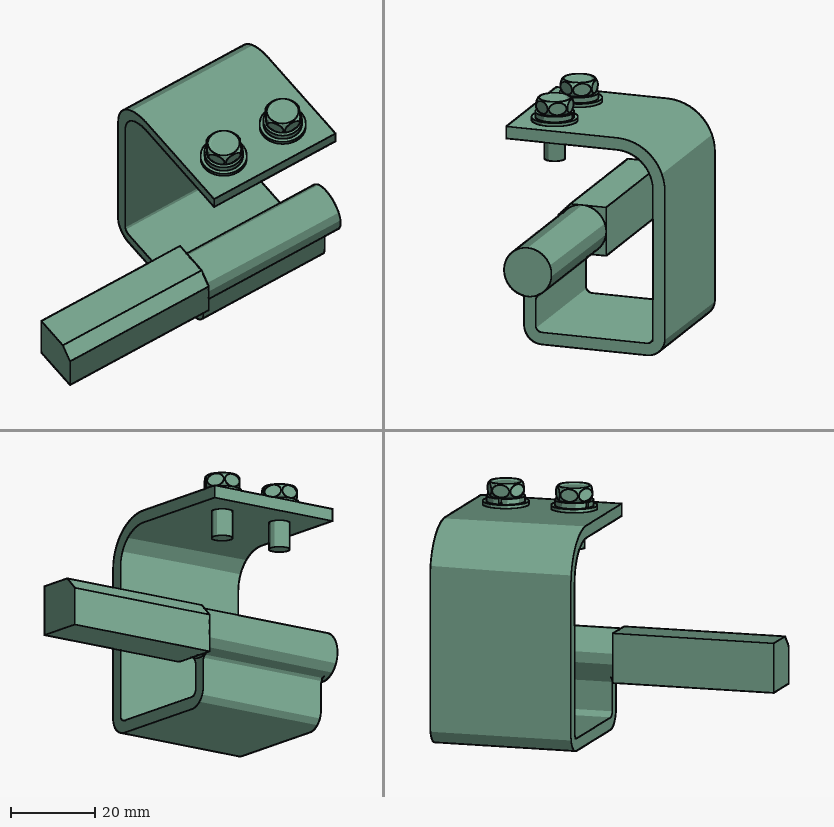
import cadquery as cq
import math

bracket_length = 40.0
bracket_height = 53.0
bracket_depth = 35.0
plate_thickness = 3.0
top_bend_radius = 12.0
bottom_bend_radius = 4.5

barrel_diameter = 12.0
barrel_radius = barrel_diameter / 2
barrel_overhang = 1.5
barrel_x = bracket_length - barrel_radius
barrel_z = 18.0
weld_radius = 2.0
bar_length = 40.0
bar_chamfer = 3.0

bolt_diameter = 5.0
bolt_x = 31.0
bolt_edge_distance = 9.0
bolt_reach = 9.5
head_across_flats = 8.0
head_height = 3.5
hexagon_turn = 30.0
head_rim_diameter = 7.5
head_bulge_diameter = 9.05
dish_floor_diameter = 6.0
dish_depth = 0.4
dish_wall_angle = 31.0
spring_outer_diameter = 9.2
spring_thickness = 1.3
spring_gap = 0.7
flat_outer_diameter = 11.0
flat_thickness = 0.8

bolt_places = [
    (bolt_edge_distance, 240.0),
    (bracket_depth - bolt_edge_distance, 180.0),
]

flat_base_z = bracket_height
spring_base_z = flat_base_z + flat_thickness
head_base_z = spring_base_z + spring_thickness


def along_y(sketch, start_y, length):
    """Extrude an XZ sketch from start_y towards +Y."""
    return sketch.extrude(-length).translate((0, start_y, 0))


def disc(diameter, base_z, height, y):
    """Upright cylinder on a bolt axis."""
    return cq.Workplane("XY", origin=(bolt_x, y, base_z)).circle(diameter / 2).extrude(height)


def make_strip():
    """Bent strip: top flange, back wall, floor and the short leg that rises to the barrel."""
    t = plate_thickness
    leg_right = barrel_x + t / 2
    leg_left = leg_right - t
    top = bracket_height
    outer_top = top_bend_radius
    inner_top = outer_top - t
    outer_low = bottom_bend_radius
    inner_low = outer_low - t
    bend = math.sqrt(0.5)

    def arc_point(center_x, center_z, radius, side_x, side_z):
        return (center_x + side_x * radius * bend, center_z + side_z * radius * bend)

    low_left = (outer_low, outer_low)
    low_right = (leg_right - outer_low, outer_low)
    top_left = (outer_top, top - outer_top)

    profile = (
        cq.Workplane("XZ")
        .moveTo(bracket_length, top)
        .lineTo(outer_top, top)
        .threePointArc(arc_point(*top_left, outer_top, -1, 1), (0, top - outer_top))
        .lineTo(0, outer_low)
        .threePointArc(arc_point(*low_left, outer_low, -1, -1), (outer_low, 0))
        .lineTo(leg_right - outer_low, 0)
        .threePointArc(arc_point(*low_right, outer_low, 1, -1), (leg_right, outer_low))
        .lineTo(leg_right, barrel_z)
        .lineTo(leg_left, barrel_z)
        .lineTo(leg_left, outer_low)
        .threePointArc(arc_point(*low_right, inner_low, 1, -1), (leg_right - outer_low, t))
        .lineTo(outer_low, t)
        .threePointArc(arc_point(*low_left, inner_low, -1, -1), (t, outer_low))
        .lineTo(t, top - outer_top)
        .threePointArc(arc_point(*top_left, inner_top, -1, 1), (outer_top, top - t))
        .lineTo(bracket_length, top - t)
        .close()
    )
    return along_y(profile, 0, bracket_depth)


def make_weld():
    """Two concave fillets between the leg and the barrel, tangent to both."""
    half_leg = plate_thickness / 2
    center_offset = half_leg + weld_radius
    center_drop = math.sqrt((barrel_radius + weld_radius) ** 2 - center_offset ** 2)
    weld_bottom = barrel_z - center_drop
    share = barrel_radius / (barrel_radius + weld_radius)
    touch_offset = center_offset * share
    touch_z = barrel_z - center_drop * share

    block = cq.Workplane("XZ").polyline([
        (barrel_x - half_leg, weld_bottom),
        (barrel_x + half_leg, weld_bottom),
        (barrel_x + touch_offset, touch_z),
        (barrel_x, barrel_z),
        (barrel_x - touch_offset, touch_z),
    ]).close()
    weld = along_y(block, 0, bracket_depth)
    for side in (-1, 1):
        hollow = (
            cq.Workplane("XZ")
            .center(barrel_x + side * center_offset, weld_bottom)
            .circle(weld_radius)
        )
        weld = weld.cut(along_y(hollow, 0, bracket_depth))
    return weld


def make_bracket():
    """Strip with its welded barrel and the bolt holes."""
    barrel_sketch = cq.Workplane("XZ").center(barrel_x, barrel_z).circle(barrel_radius)
    barrel = along_y(barrel_sketch, -barrel_overhang, bracket_depth + 2 * barrel_overhang)
    bracket = make_strip().union(make_weld()).union(barrel)
    for y, _ in bolt_places:
        hole = disc(bolt_diameter, bracket_height - plate_thickness, plate_thickness, y)
        bracket = bracket.cut(hole)
    return bracket


def make_bar():
    """Square bar butted against the front end of the barrel, with one chamfered long edge."""
    sketch = cq.Workplane("XZ").center(barrel_x, barrel_z).rect(barrel_diameter, barrel_diameter)
    bar = along_y(sketch, -barrel_overhang - bar_length, bar_length)
    return bar.edges("|Y and >X and >Z").chamfer(bar_chamfer)


def make_flat_washer(y):
    return disc(flat_outer_diameter, flat_base_z, flat_thickness, y).cut(
        disc(bolt_diameter, flat_base_z, flat_thickness, y)
    )


def make_spring_washer(y, gap_direction):
    """Ring split by one radial gap."""
    ring = disc(spring_outer_diameter, spring_base_z, spring_thickness, y).cut(
        disc(bolt_diameter, spring_base_z, spring_thickness, y)
    )
    gap = (
        cq.Workplane("XY", origin=(bolt_x, y, spring_base_z))
        .transformed(rotate=(0, 0, gap_direction))
        .center(spring_outer_diameter / 2, 0)
        .rect(spring_outer_diameter, spring_gap)
        .extrude(spring_thickness)
    )
    return ring.cut(gap)


def make_bolt(y):
    """Hexagon head with flats facing X, barrel-turned corners and a dished top, on a plain shank."""
    corner_radius = head_across_flats / math.sqrt(3)
    bulge_radius = head_bulge_diameter / 2
    rim_radius = head_rim_diameter / 2
    floor_radius = dish_floor_diameter / 2
    floor_z = head_height - dish_depth
    slope = math.radians(dish_wall_angle)
    wall_foot_radius = rim_radius - dish_depth / math.tan(slope)
    blend_radius = (wall_foot_radius - floor_radius) / math.tan(slope / 2)

    def blend_point(angle):
        return (
            floor_radius + blend_radius * math.sin(angle),
            floor_z + blend_radius * (1 - math.cos(angle)),
        )

    hexagon = (
        cq.Workplane("XY", origin=(bolt_x, y, head_base_z))
        .transformed(rotate=(0, 0, hexagon_turn))
        .polygon(6, 2 * corner_radius)
        .extrude(head_height)
    )
    turned = (
        cq.Workplane("XZ")
        .lineTo(rim_radius, 0)
        .threePointArc((bulge_radius, head_height / 2), (rim_radius, head_height))
        .lineTo(*blend_point(slope))
        .threePointArc(blend_point(slope / 2), (floor_radius, floor_z))
        .lineTo(0, floor_z)
        .close()
        .revolve(360, (0, 0), (0, 1))
        .translate((bolt_x, y, head_base_z))
    )
    shank_bottom = bracket_height - bolt_reach
    shank = disc(bolt_diameter, shank_bottom, head_base_z - shank_bottom, y)
    return hexagon.intersect(turned).union(shank)


bodies = [make_bracket().val(), make_bar().val()]
for bolt_y, gap_direction in bolt_places:
    bodies.append(make_flat_washer(bolt_y).val())
    bodies.append(make_spring_washer(bolt_y, gap_direction).val())
    bodies.append(make_bolt(bolt_y).val())

result = cq.Compound.makeCompound(bodies)